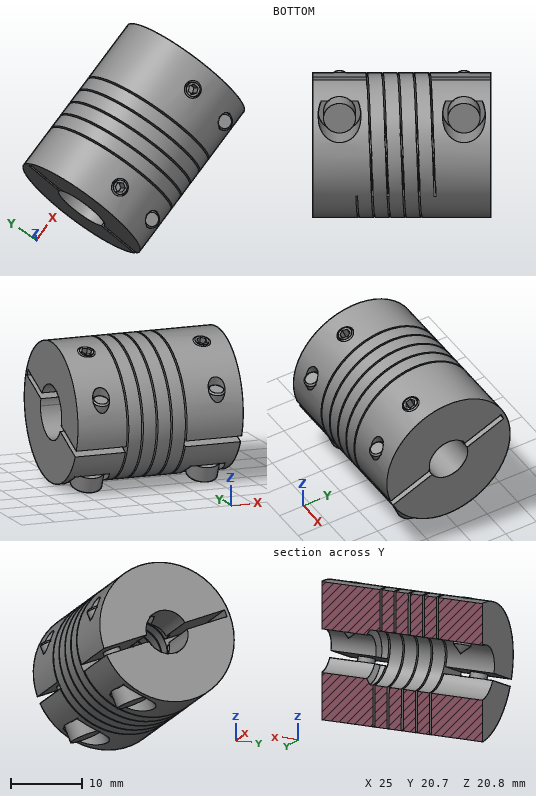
import cadquery as cq
import math

length = 25.0
body_radius = 10.175
large_bore_radius = 4.0
small_bore_radius = 3.175
bore_step_x = 17.5
bore_cone_length = 0.5

overcut = 1.0
bore_overcut = 0.3

clamp_tilt = 23.0
slot_width = 1.0
slot_inner_end = 9.65

coil_pitch = 2.2
coil_turns = 5
coil_width = 0.25
coil_start_x = 6.17
coil_start_angle = -45.0

screw_inset = 3.77
screw_positions = (screw_inset, length - screw_inset)
screw_radius = 1.25
end_chamfer = 0.25

clamp_offset = 7.3
clamp_shank_length = 12.0
clamp_tip_height = 6.96
clamp_seat_height = clamp_tip_height - clamp_shank_length
clamp_head_radius = 2.25
clamp_head_height = 2.5
counterbore_radius = 3.0

set_top = body_radius
set_length = 7.9
set_chamfer_depth = 0.15
hex_flats = 1.3
hex_depth = 1.9
hex_turns = (0.0, 25.0)


def tilted(shape):
    """Turn a shape from the clamp frame (slot along -Y, screws along Z) to its place on the part."""
    return shape.rotate((0, 0, 0), (1, 0, 0), clamp_tilt)


def upright_cylinder(x, y, bottom, height, radius):
    return cq.Workplane("XY", origin=(x, y, bottom)).circle(radius).extrude(height)


def bore():
    """Large bore from the X = 0 end, narrowing through a short cone to the small bore."""
    cone_end_x = bore_step_x + bore_cone_length
    return (
        cq.Workplane("XY")
        .moveTo(0, 0)
        .lineTo(0, large_bore_radius)
        .lineTo(bore_step_x, large_bore_radius)
        .lineTo(cone_end_x, small_bore_radius)
        .lineTo(length, small_bore_radius)
        .lineTo(length, 0)
        .close()
        .revolve(360, (0, 0, 0), (1, 0, 0))
    )


def groove_x(angle):
    """X of the helical cut at an angle turned from +Y towards +Z, counted on from its start."""
    return coil_start_x + coil_pitch * (angle - coil_start_angle) / 360


def slot_side(start_x, end_x, reach):
    """Half of a clamp slot, from the axis out to a signed reach along Y of the clamp frame."""
    side = cq.Workplane("XY").box(end_x - start_x, abs(reach), slot_width)
    return tilted(side.translate(((start_x + end_x) / 2, reach / 2, 0)))


def clamp_slots():
    """Each slot runs from its end face into the nearest turn of the coil cut."""
    last_turn = 360 * (coil_turns - 1)
    sides = [(clamp_tilt, slot_inner_end), (clamp_tilt + 180, -body_radius - overcut)]
    slots = []
    for angle, reach in sides:
        slots.append(slot_side(0, groove_x(angle), reach))
        slots.append(slot_side(groove_x(angle + last_turn), length, reach))
    return slots


def coil_cuts():
    """The helical cut, as one cutter for each full turn."""
    inner = large_bore_radius - bore_overcut
    outer = body_radius + overcut
    path = cq.Wire.makeHelix(coil_pitch, coil_pitch, inner)
    turn = (
        cq.Workplane("XZ")
        .center(inner, 0)
        .rect(outer - inner, coil_width, centered=(False, True))
        .sweep(cq.Workplane(path), isFrenet=True)
        .rotate((0, 0, 0), (0, 1, 0), 90)
        .rotate((0, 0, 0), (1, 0, 0), coil_start_angle + 90)
    )
    return [turn.translate((coil_start_x + number * coil_pitch, 0, 0)) for number in range(coil_turns)]


def clamp_screw(x):
    """Cap screw crossing the open side of the slot, with a chamfered tip."""
    shank = upright_cylinder(x, -clamp_offset, clamp_seat_height, clamp_shank_length, screw_radius)
    shank = shank.faces(">Z").chamfer(end_chamfer)
    head_end = clamp_seat_height - clamp_head_height
    head = upright_cylinder(x, -clamp_offset, head_end, clamp_head_height, clamp_head_radius)
    return tilted(head.union(shank))


def clamp_hole(x):
    """Hole for the shank, through to the outside, and the counterbore around the head."""
    hole = upright_cylinder(x, -clamp_offset, clamp_seat_height, 2 * body_radius, screw_radius)
    recess_start = clamp_seat_height - body_radius
    recess = upright_cylinder(x, -clamp_offset, recess_start, body_radius, counterbore_radius)
    return tilted(hole.union(recess))


def set_screw_blank(x):
    """Cone-point set screw before its socket is made; it also shapes the hole that holds it."""
    tip = set_top - set_length
    blank = (
        cq.Workplane("XZ", origin=(x, 0, 0))
        .moveTo(0, tip)
        .lineTo(screw_radius, tip + screw_radius)
        .lineTo(screw_radius, set_top - set_chamfer_depth)
        .lineTo(screw_radius - end_chamfer, set_top)
        .lineTo(0, set_top)
        .close()
        .revolve(360, (0, 0, 0), (0, 1, 0))
    )
    return tilted(blank)


def set_screw(x, hex_turn):
    """Set screw with a hexagon socket turned about its own axis."""
    socket = (
        cq.Workplane("XY")
        .polygon(6, hex_flats / math.cos(math.pi / 6))
        .extrude(-hex_depth)
        .rotate((0, 0, 0), (0, 0, 1), hex_turn)
        .translate((x, 0, set_top))
    )
    return set_screw_blank(x).cut(tilted(socket))


def coupling_body():
    body = cq.Workplane("YZ").circle(body_radius).extrude(length).cut(bore())
    for slot in clamp_slots():
        body = body.cut(slot)
    for x in screw_positions:
        body = body.cut(clamp_hole(x)).cut(set_screw_blank(x))
    for turn in coil_cuts():
        body = body.cut(turn)
    return body


body = coupling_body()
clamp_screws = [clamp_screw(x) for x in screw_positions]
set_screws = [set_screw(x, turn) for x, turn in zip(screw_positions, hex_turns)]

result = cq.Compound.makeCompound(
    [body.val(), *[screw.val() for screw in clamp_screws], *[screw.val() for screw in set_screws]]
)